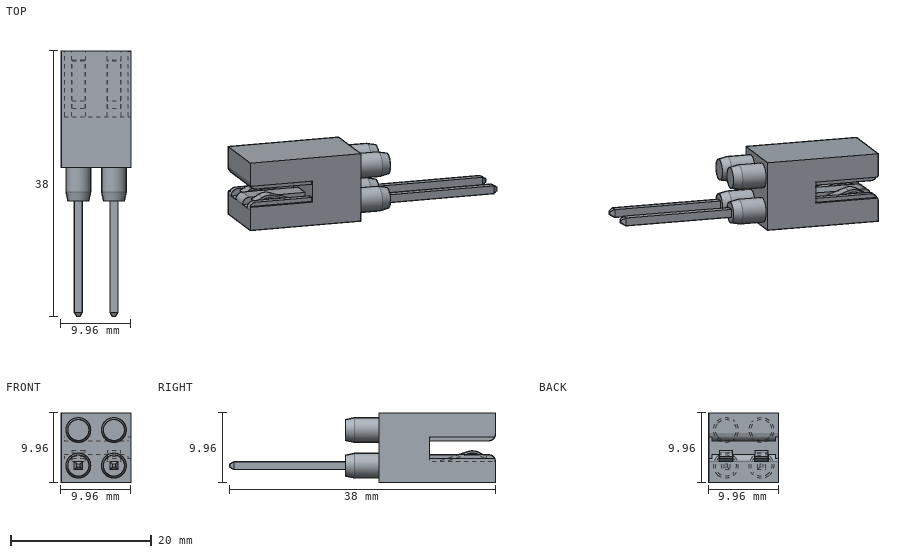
import cadquery as cq
import math

HOUSING_SIDE = 9.96
HOUSING_LENGTH = 16.65
PITCH = 5.08
MOUTH_Y = HOUSING_LENGTH

SLOT_DEPTH = 9.4
SLOT_HEIGHT = 1.94
SLOT_SIDE_HEIGHT = 3.1
SIDE_STEP_WIDTH = 0.45
LIP_RADIUS = 1.0
LOWER_LIP_Z = -SLOT_HEIGHT / 2

BOSS_DIAMETER = 3.55
BOSS_TIP_DIAMETER = 3.0
BOSS_STRAIGHT = 3.5
BOSS_TAPER = 1.3

PIN_SIDE = 1.17
PIN_TIP_SIDE = 0.46
PIN_LENGTH = 16.5
PIN_TIP_LENGTH = 0.63

POCKET_WIDTH = 2.0
POCKET_DEPTH = 1.0

CONTACT_WIDTH = 1.85
CONTACT_THICKNESS = 0.36
CREST_RADIUS = 2.0
CREST_FROM_MOUTH = 3.3
CREST_HEIGHT = 0.56
FRONT_LEG_ANGLE = math.radians(29)
TAIL_ANGLE = math.radians(18.5)
FRONT_LEG_LENGTH = 1.2
TAIL_LENGTH = 4.5

COLUMNS = (-PITCH / 2, PITCH / 2)
ROWS = (-PITCH / 2, PITCH / 2)
PIN_ROW = -PITCH / 2


def centred_box(width, length, height, y_start, x=0, z=0):
    """Box centred on x and z, running from y_start toward +Y."""
    box = cq.Workplane("XY").box(width, length, height, centered=(True, False, True))
    return box.translate((x, y_start, z))


def housing():
    block = centred_box(HOUSING_SIDE, HOUSING_LENGTH, HOUSING_SIDE, 0)
    slot_start = MOUTH_Y - SLOT_DEPTH
    block = block.cut(centred_box(HOUSING_SIDE, SLOT_DEPTH, SLOT_HEIGHT, slot_start))

    half = SLOT_HEIGHT / 2
    lip_edges = cq.selectors.BoxSelector(
        (-HOUSING_SIDE, MOUTH_Y - LIP_RADIUS / 2, -half - LIP_RADIUS / 2),
        (HOUSING_SIDE, MOUTH_Y + LIP_RADIUS / 2, half + LIP_RADIUS / 2),
    )
    block = block.edges("|X").edges(lip_edges).fillet(LIP_RADIUS)

    step_x = (HOUSING_SIDE - SIDE_STEP_WIDTH) / 2
    for x in (-step_x, step_x):
        block = block.cut(centred_box(SIDE_STEP_WIDTH, SLOT_DEPTH, SLOT_SIDE_HEIGHT, slot_start, x))

    pocket_height = POCKET_DEPTH + SLOT_HEIGHT / 2
    for x in COLUMNS:
        block = block.cut(
            centred_box(POCKET_WIDTH, SLOT_DEPTH, pocket_height, slot_start, x, -pocket_height / 2)
        )
    return block


def boss(x, z):
    rear_plane = cq.Workplane("XZ", origin=(x, 0, z))
    barrel = rear_plane.circle(BOSS_DIAMETER / 2).extrude(BOSS_STRAIGHT)
    taper = (
        rear_plane.workplane(offset=BOSS_STRAIGHT)
        .circle(BOSS_DIAMETER / 2)
        .workplane(offset=BOSS_TAPER)
        .circle(BOSS_TIP_DIAMETER / 2)
        .loft(ruled=True)
    )
    return barrel.union(taper)


def pin(x, z):
    boss_end = cq.Workplane("XZ", origin=(x, 0, z)).workplane(offset=BOSS_STRAIGHT + BOSS_TAPER)
    straight = PIN_LENGTH - PIN_TIP_LENGTH
    shank = boss_end.rect(PIN_SIDE, PIN_SIDE).extrude(straight)
    tip = (
        boss_end.workplane(offset=straight)
        .rect(PIN_SIDE, PIN_SIDE)
        .workplane(offset=PIN_TIP_LENGTH)
        .rect(PIN_TIP_SIDE, PIN_TIP_SIDE)
        .loft(ruled=True)
    )
    return shank.union(tip)


def contact(x):
    """Bent strip: a front leg and a tail tangent to a round crest, the tail running into the jaw."""
    centre_y = MOUTH_Y - CREST_FROM_MOUTH
    centre_z = LOWER_LIP_Z + CREST_HEIGHT - CREST_RADIUS

    def strip_point(radius, angle, run=0):
        """Point at an angle from the crest toward +Y, then a run along the tangent away from the crest."""
        along = math.copysign(run, angle)
        y = centre_y + radius * math.sin(angle) + along * math.cos(angle)
        z = centre_z + radius * math.cos(angle) - along * math.sin(angle)
        return (y, z)

    outer = CREST_RADIUS
    inner = CREST_RADIUS - CONTACT_THICKNESS
    profile = (
        cq.Workplane("YZ", origin=(x - CONTACT_WIDTH / 2, 0, 0))
        .moveTo(*strip_point(outer, FRONT_LEG_ANGLE, FRONT_LEG_LENGTH))
        .lineTo(*strip_point(outer, FRONT_LEG_ANGLE))
        .threePointArc(strip_point(outer, 0), strip_point(outer, -TAIL_ANGLE))
        .lineTo(*strip_point(outer, -TAIL_ANGLE, TAIL_LENGTH))
        .lineTo(*strip_point(inner, -TAIL_ANGLE, TAIL_LENGTH))
        .lineTo(*strip_point(inner, -TAIL_ANGLE))
        .threePointArc(strip_point(inner, 0), strip_point(inner, FRONT_LEG_ANGLE))
        .lineTo(*strip_point(inner, FRONT_LEG_ANGLE, FRONT_LEG_LENGTH))
        .close()
    )
    return profile.extrude(CONTACT_WIDTH)


result = housing()
for column in COLUMNS:
    for row in ROWS:
        result = result.union(boss(column, row))
    result = result.union(pin(column, PIN_ROW))
    result = result.union(contact(column))